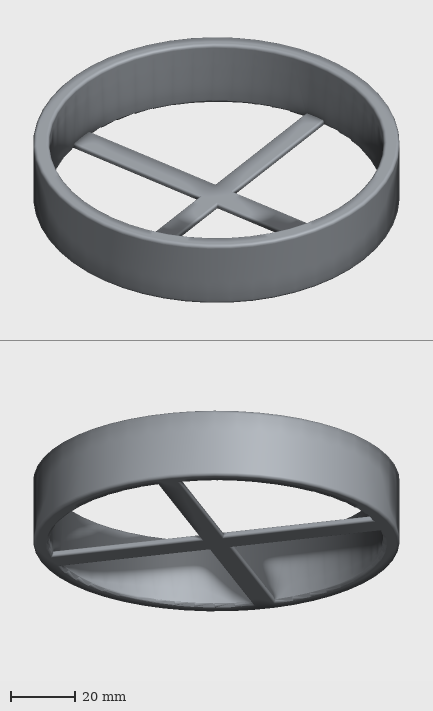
import cadquery as cq

outer_diameter = 114.0
bore_diameter = 104.0
ring_height = 22.0
ring_rounding = 1.0

spoke_thickness = 1.9
spoke_along_x_width = 8.5
spoke_along_y_width = 7.1
spoke_rounding = 0.7

spoke_length = (outer_diameter + bore_diameter) / 2


def make_ring():
    """Plain annulus with all four circular rims rounded."""
    ring = (
        cq.Workplane("XY")
        .circle(outer_diameter / 2)
        .circle(bore_diameter / 2)
        .extrude(ring_height)
    )
    return ring.edges("%CIRCLE").fillet(ring_rounding)


def make_cross():
    """Two crossing spokes with rounded long edges, trimmed inside the ring wall."""
    on_base = (True, True, False)
    cross = (
        cq.Workplane("XY")
        .box(spoke_length, spoke_along_x_width, spoke_thickness, centered=on_base)
        .union(
            cq.Workplane("XY").box(
                spoke_along_y_width, spoke_length, spoke_thickness, centered=on_base
            )
        )
    )
    return cross.faces("<Z or >Z").edges().fillet(spoke_rounding)


result = make_ring().union(make_cross())